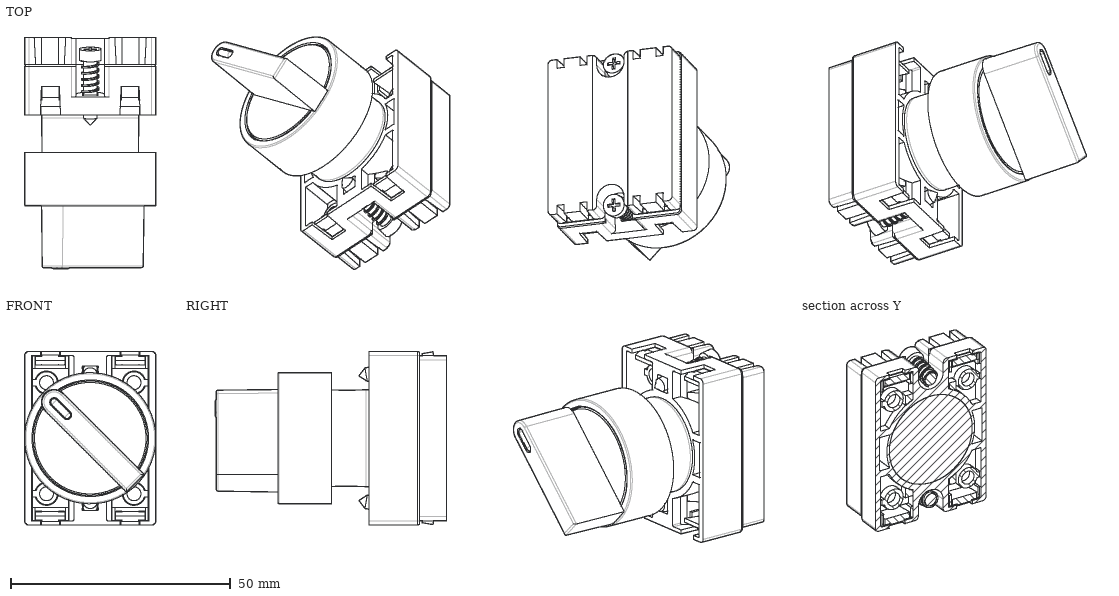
import cadquery as cq
import math

block_front_y = -6.1
frame_front_y = -17.6
collar_front_y = -18.25
bezel_back_y = -26.1
bezel_front_y = -38.3
handle_front_y = -52.35

frame_width = 29.8
frame_height = 39.5
block_height = 37.5
corner_radius = 1.0
rear_bevel_length = 0.45
rear_bevel_inset = 0.2
frame_top_z = frame_height / 2
block_top_z = block_height / 2

collar_radius = 11.05
tube_radius = 11.85
hub_radius = 12.6
sleeve_end_radius = 11.0

window_inner_x = 3.75
window_outer_x = 13.35
side_window_outer_x = 13.7
window_top_z = 18.8
window_step = 1.05
window_step_depth = 2.2
window_corner_radius = 0.3
rib_low_z = 4.2
rib_high_z = 5.95

tongue_x = 9.05
tongue_width = 6.7
tongue_bottom_z = 16.7
tongue_shoulder_z = 18.6
tongue_nose_z = 17.6
tongue_front_y = -15.75
hook_width = 3.9
hook_top_z = 18.95
hook_slope_y = -13.7
notch_back_y = -11.15
notch_back_width = 4.1
notch_front_width = 4.6

plate_inner_x = 4.9
plate_outer_x = 13.15
plate_top_z = 15.8
plate_front_y = -10.4
post_inner_x = (plate_inner_x, 5.6)
post_outer_x = (12.55, plate_outer_x)
post_top_z = 18.65
post_front_y = -13.5
wedge_outer_x = 6.8
wedge_front_y = -14.25
wedge_top_z = 13.15
boss_x = 9.95
boss_z = 12.6
boss_radius = 2.65
boss_bore_radius = 1.6
boss_front_y = -12.5
boss_chamfer = 0.15
boss_tab_height = 1.45

slot_depth = 2.1
inner_slot_x = (7.2, 5.6)
outer_slot_x = (11.05, 12.75)
slot_draft = 0.3
back_recess_depth = 0.2

groove_half_width = 3.25
groove_center_z = 16.3
groove_floor_y = -13.55

screw_tilt = 10.0
screw_head_y = -2.65
screw_head_z = 17.2
head_diameter = 5.0
head_radius = head_diameter / 2
head_length = 2.5
shank_radius = 1.6
screw_length = 17.55
tip_length = 1.7
recess_length = 2.9
recess_width = 0.65
recess_depth = 0.85
screw_hole_size = 3.65
screw_hole_corner_radius = 0.3

wire_size = 0.35
spring_clearance = 0.025
spring_pitch = 1.4

bezel_radius = frame_width / 2
bezel_edge_radius = 0.25
seat_radius = 13.25
seat_depth = 1.05
disk_radius = 13.0
disk_chamfer = 0.3
handle_width = 5.75
handle_round_reach = 11.6
handle_end_reach = 14.45
handle_angle = 135.0
handle_draft = 0.6
handle_edge_radius = 0.4
marker_reach = 9.5
marker_spacing = 4.1
marker_slot_width = 2.05
marker_radius = 0.8
marker_sink = 0.5

SIDES = (-1, 1)
CORNERS = [(side, end) for side in SIDES for end in SIDES]

tilt = math.radians(screw_tilt)
screw_plane = cq.Plane(
    origin=(0, screw_head_y, screw_head_z),
    xDir=(1, 0, 0),
    normal=(0, -math.cos(tilt), -math.sin(tilt)),
)
groove_floor_distance = (
    (screw_head_y - groove_floor_y) * math.cos(tilt) - (frame_top_z - screw_head_z) * math.sin(tilt)
)


def at_y(y):
    """Workplane facing -Y at depth y, with local axes X and Z."""
    return cq.Workplane("XZ", origin=(0, y, 0))


def full_depth_cylinder(radius):
    """Cylinder on the Y axis, as deep as the block and frame together."""
    return at_y(0).circle(radius).extrude(-frame_front_y)


def box_between(x0, x1, y0, y1, z0, z1):
    """Box between opposite corners."""
    center = ((x0 + x1) / 2, (y0 + y1) / 2, (z0 + z1) / 2)
    return cq.Workplane("XY", origin=center).box(abs(x1 - x0), abs(y1 - y0), abs(z1 - z0))


def mirror_to(shape, side, end):
    """Copy of a shape drawn at +X, +Z, mirrored to the given side (X) and end (Z)."""
    if side < 0:
        shape = shape.mirror("YZ")
    if end < 0:
        shape = shape.mirror("XY")
    return shape


def turned_to_end(shape, end):
    """Copy of a shape drawn at the top, turned half a turn about Y for the bottom end."""
    return shape if end > 0 else shape.rotate((0, 0, 0), (0, 1, 0), 180)


def groove():
    """Round-bottomed screw channel, open at the top and back, with a tilted floor."""
    above = frame_height
    depth = -frame_front_y
    channel = (
        at_y(0)
        .moveTo(-groove_half_width, above)
        .lineTo(-groove_half_width, groove_center_z)
        .threePointArc((0, groove_center_z - groove_half_width), (groove_half_width, groove_center_z))
        .lineTo(groove_half_width, above)
        .close()
        .extrude(depth)
    )
    beyond_floor = (
        cq.Workplane(screw_plane)
        .workplane(offset=groove_floor_distance)
        .rect(2 * above, 2 * above)
        .extrude(depth)
    )
    return channel.cut(beyond_floor)


def cut_grooves(body, top_z):
    """Cut both screw grooves and round their long rims."""
    reach = 0.05
    for end in SIDES:
        body = body.cut(turned_to_end(groove(), end))
    for side in SIDES:
        for end in SIDES:
            rim_x = side * groove_half_width
            rim_z = end * top_z
            rim = cq.selectors.BoxSelector(
                (rim_x - reach, frame_front_y, rim_z - reach), (rim_x + reach, reach, rim_z + reach)
            )
            body = body.edges("|Y").edges(rim).fillet(corner_radius)
    return body


def window():
    """Corner window at +X, +Z: wide at the front, stepping in to its back part."""
    step_y = frame_front_y + window_step_depth
    opening = box_between(
        window_inner_x, window_outer_x, block_front_y, frame_front_y, rib_high_z, window_top_z
    ).edges("|Y and >Z").fillet(window_corner_radius)
    plan = (
        cq.Workplane("XY")
        .moveTo(window_inner_x, frame_front_y)
        .lineTo(window_outer_x, frame_front_y)
        .lineTo(window_outer_x, block_front_y)
        .lineTo(window_inner_x + window_step, block_front_y)
        .lineTo(window_inner_x + window_step, step_y + window_step)
        .lineTo(window_inner_x, step_y)
        .close()
        .extrude(frame_top_z)
    )
    return opening.intersect(plan)


def notch():
    """Opening for a snap hook through the top wall at +X, narrowing to the back."""
    return (
        cq.Workplane("XY", origin=(tongue_x, 0, tongue_nose_z))
        .moveTo(-notch_back_width / 2, notch_back_y)
        .lineTo(notch_back_width / 2, notch_back_y)
        .lineTo(notch_front_width / 2, frame_front_y)
        .lineTo(-notch_front_width / 2, frame_front_y)
        .close()
        .extrude(frame_top_z - tongue_nose_z)
    )


def make_frame():
    bevel_angle = math.degrees(math.atan2(rear_bevel_inset, rear_bevel_length))
    bevel_front_y = block_front_y - rear_bevel_length
    main = (
        at_y(bevel_front_y)
        .rect(frame_width, frame_height)
        .extrude(bevel_front_y - frame_front_y)
        .edges("|Y")
        .fillet(corner_radius)
    )
    bevel = main.faces(">Y").wires().toPending().workplane().extrude(
        rear_bevel_length, combine=False, taper=bevel_angle
    )
    body = cut_grooves(main, frame_top_z)
    for end in SIDES:
        bevel = bevel.cut(turned_to_end(groove(), end))
    body = body.union(bevel)

    tube = full_depth_cylinder(tube_radius)
    hub = full_depth_cylinder(hub_radius)
    for side, end in CORNERS:
        body = body.cut(mirror_to(window().cut(hub), side, end))
        body = body.cut(mirror_to(notch(), side, end))
    for side in SIDES:
        slot = box_between(
            0, side * side_window_outer_x, block_front_y, frame_front_y, -rib_low_z, rib_low_z
        )
        body = body.cut(slot.cut(tube))
    body = body.cut(full_depth_cylinder(collar_radius))

    outline = cq.Sketch().rect(screw_hole_size, screw_hole_size).vertices().fillet(screw_hole_corner_radius)
    hole = (
        cq.Workplane(screw_plane)
        .workplane(offset=groove_floor_distance / 2)
        .placeSketch(outline)
        .extrude(screw_length)
    )
    for end in SIDES:
        body = body.cut(turned_to_end(hole, end))
    return body


def tongue():
    """Snap tongue at +X, +Z with a slanted underside and a sloped hook that enters the frame notch."""

    def strip(width, top_z):
        profile = (
            cq.Workplane("YZ", origin=(tongue_x, 0, 0))
            .moveTo(block_front_y, tongue_nose_z)
            .lineTo(tongue_front_y, tongue_bottom_z)
            .lineTo(tongue_front_y, tongue_nose_z)
            .lineTo(hook_slope_y, hook_top_z)
            .lineTo(notch_back_y, hook_top_z)
            .lineTo(notch_back_y, tongue_shoulder_z)
            .lineTo(block_front_y, tongue_shoulder_z)
            .close()
            .extrude(width / 2, both=True)
        )
        limit = box_between(0, frame_width, block_front_y, frame_front_y, 0, top_z)
        return profile.intersect(limit)

    return strip(tongue_width, tongue_shoulder_z).union(strip(hook_width, hook_top_z))


def terminal():
    """Terminal plate at +X, +Z with flanking posts, a wedge and a bored, tabbed boss."""
    plate = box_between(
        plate_inner_x, plate_outer_x, block_front_y, plate_front_y, rib_high_z, plate_top_z
    )
    for x0, x1 in (post_inner_x, post_outer_x):
        plate = plate.union(
            box_between(x0, x1, block_front_y, post_front_y, plate_top_z, post_top_z)
        )
    wedge = (
        cq.Workplane("XY", origin=(0, 0, rib_high_z))
        .moveTo(plate_inner_x, block_front_y)
        .lineTo(plate_inner_x, wedge_front_y)
        .lineTo(wedge_outer_x, wedge_front_y + wedge_outer_x - plate_inner_x)
        .lineTo(wedge_outer_x, block_front_y)
        .close()
        .extrude(wedge_top_z - rib_high_z)
    )
    boss = (
        at_y(block_front_y)
        .center(boss_x, boss_z)
        .circle(boss_radius)
        .extrude(block_front_y - boss_front_y)
        .faces("<Y")
        .chamfer(boss_chamfer)
    )
    tab = box_between(
        boss_x, plate_outer_x, block_front_y, boss_front_y,
        boss_z - boss_tab_height / 2, boss_z + boss_tab_height / 2,
    )
    bore = (
        at_y(plate_front_y)
        .center(boss_x, boss_z)
        .circle(boss_bore_radius)
        .extrude(plate_front_y - boss_front_y)
    )
    return plate.union(wedge).union(boss).union(tab).cut(bore).cut(full_depth_cylinder(hub_radius))


def block_slot(straight_x, drafted_x, draft):
    """Slot at +X, +Z through the block, with one side wall drafted towards the front."""
    return (
        cq.Workplane("XY", origin=(0, 0, block_top_z - slot_depth))
        .moveTo(straight_x, 0)
        .lineTo(drafted_x, 0)
        .lineTo(drafted_x + draft, block_front_y)
        .lineTo(straight_x, block_front_y)
        .close()
        .extrude(slot_depth)
    )


def make_contact_block():
    body = (
        at_y(0)
        .rect(frame_width, block_height)
        .extrude(-block_front_y)
        .edges("|Y")
        .fillet(corner_radius)
    )
    body = cut_grooves(body, block_top_z)
    recess_half_width = groove_half_width + corner_radius
    body = body.cut(
        box_between(
            -recess_half_width, recess_half_width, 0, -back_recess_depth, -block_height, block_height
        )
    )
    for side, end in CORNERS:
        body = body.cut(mirror_to(block_slot(*inner_slot_x, slot_draft), side, end))
        body = body.cut(mirror_to(block_slot(*outer_slot_x, -slot_draft), side, end))
        body = body.union(mirror_to(terminal(), side, end))
        body = body.union(mirror_to(tongue(), side, end))
    return body


def make_screw(end):
    """Cross-recess screw with a cylindrical head and a conical tip."""
    screw = (
        cq.Workplane("XZ")
        .moveTo(0, 0)
        .lineTo(head_radius, 0)
        .lineTo(head_radius, head_length)
        .lineTo(shank_radius, head_length)
        .lineTo(shank_radius, screw_length - tip_length)
        .lineTo(0, screw_length)
        .close()
        .revolve(360, (0, 0, 0), (0, 1, 0))
    )
    for length, width in ((recess_length, recess_width), (recess_width, recess_length)):
        screw = screw.cut(cq.Workplane("XY").rect(length, width).extrude(recess_depth))
    return turned_to_end(screw.val().moved(cq.Location(screw_plane)), end)


def make_spring(end):
    """Square-wire coil spring between the screw head and the groove floor."""
    coil_radius = shank_radius + spring_clearance + wire_size / 2
    coil_height = groove_floor_distance - head_length - wire_size - 2 * spring_clearance
    coil_start = head_length + wire_size / 2 + spring_clearance
    path = cq.Wire.makeHelix(spring_pitch, coil_height, coil_radius)
    coil = (
        cq.Workplane("XZ")
        .center(coil_radius, 0)
        .rect(wire_size, wire_size)
        .sweep(cq.Workplane(obj=path), isFrenet=True)
        .rotate((0, 0, 0), (0, 0, 1), 180)
        .translate((0, 0, coil_start))
    )
    return turned_to_end(coil.val().moved(cq.Location(screw_plane)), end)


def make_bezel():
    """Operator sleeve with its collar and the wide bezel, recessed for the knob disk."""
    body = at_y(block_front_y).circle(collar_radius).extrude(block_front_y - collar_front_y)
    sleeve_length = collar_front_y - bezel_back_y
    sleeve_taper = math.degrees(math.atan2(collar_radius - sleeve_end_radius, sleeve_length))
    body = body.union(at_y(collar_front_y).circle(collar_radius).extrude(sleeve_length, taper=sleeve_taper))
    rim = at_y(bezel_back_y).circle(bezel_radius).extrude(bezel_back_y - bezel_front_y)
    rim = rim.faces("<Y").edges().fillet(bezel_edge_radius)
    seat = at_y(bezel_front_y + seat_depth).circle(seat_radius).extrude(seat_depth)
    return body.union(rim).cut(seat)


def make_knob():
    """Knob disk with a drafted lever handle that carries a raised position marker."""
    disk = (
        at_y(bezel_front_y + seat_depth)
        .circle(disk_radius)
        .extrude(seat_depth)
        .faces("<Y")
        .chamfer(disk_chamfer)
    )
    half_width = handle_width / 2
    handle = (
        at_y(bezel_front_y)
        .moveTo(-handle_end_reach, -half_width)
        .lineTo(handle_round_reach, -half_width)
        .threePointArc((handle_round_reach + half_width, 0), (handle_round_reach, half_width))
        .lineTo(-handle_end_reach, half_width)
        .close()
        .extrude(bezel_front_y - handle_front_y, taper=handle_draft)
        .faces("<Y")
        .edges()
        .fillet(handle_edge_radius)
    )
    marker_floor_y = handle_front_y + marker_sink
    pocket = (
        at_y(marker_floor_y)
        .center(marker_reach, 0)
        .slot2D(marker_spacing + marker_slot_width, marker_slot_width)
        .extrude(marker_sink)
    )
    marker = (
        cq.Workplane("YZ", origin=(marker_reach, marker_floor_y, 0))
        .circle(marker_radius)
        .extrude(marker_spacing / 2, both=True)
    )
    for x in (marker_reach - marker_spacing / 2, marker_reach + marker_spacing / 2):
        marker = marker.union(cq.Workplane("XY", origin=(x, marker_floor_y, 0)).sphere(marker_radius))
    handle = handle.cut(pocket).union(marker)
    return disk.union(handle.rotate((0, 0, 0), (0, 1, 0), -handle_angle))


frame = make_frame()
contact_block = make_contact_block()
bezel = make_bezel()
knob = make_knob()
screws = [make_screw(end) for end in SIDES]
springs = [make_spring(end) for end in SIDES]

result = cq.Compound.makeCompound(
    [frame.val(), contact_block.val(), bezel.val(), knob.val(), *screws, *springs]
)